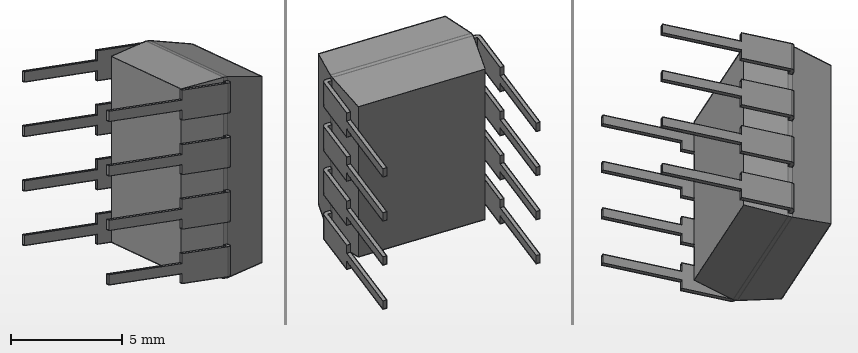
import cadquery as cq


housing_width = 7.02
housing_height = 9.38
housing_depth = 4.2
draft_angle = 10.0

lead_thickness = 0.2
row_width = 7.82
lead_pitch = 2.54
leads_per_row = 4
shoulder_width = 1.4
shoulder_length = 2.58
tip_width = 0.48
overall_depth = 8.38

band_half = lead_thickness / 2
half_depth = housing_depth / 2
tip_y = half_depth - overall_depth
shoulder_y = band_half - shoulder_length
wall_x = housing_width / 2
outer_x = row_width / 2
inner_x = outer_x - lead_thickness


def make_housing():
    """Straight parting band with a drafted half on its front and back."""
    def drafted_half(direction):
        return (
            cq.Workplane(cq.Plane((0, direction * band_half, 0), (1, 0, 0), (0, direction, 0)))
            .rect(housing_width, housing_height)
            .extrude(half_depth - band_half, taper=draft_angle)
        )

    band = cq.Workplane("XY").box(housing_width, lead_thickness, housing_height)
    return band.union(drafted_half(1)).union(drafted_half(-1)).solids()


def make_lead(side, z):
    """Bent lead touching the housing wall; side is +1 or -1 along X."""
    shoulder = (
        cq.Workplane("XY")
        .moveTo(side * wall_x, band_half)
        .lineTo(side * inner_x, band_half)
        .radiusArc((side * outer_x, -band_half), side * lead_thickness)
        .lineTo(side * outer_x, shoulder_y)
        .lineTo(side * inner_x, shoulder_y)
        .lineTo(side * inner_x, -band_half)
        .lineTo(side * wall_x, -band_half)
        .close()
        .extrude(shoulder_width / 2, both=True)
    )
    tip = (
        cq.Workplane("XY")
        .box(lead_thickness, shoulder_y - tip_y, tip_width)
        .translate((side * (inner_x + outer_x) / 2, (shoulder_y + tip_y) / 2, 0))
    )
    return shoulder.union(tip).translate((0, 0, z)).solids()


housing = make_housing()

leads = []
for side in (-1, 1):
    for index in range(leads_per_row):
        z = (index - (leads_per_row - 1) / 2) * lead_pitch
        leads.append(make_lead(side, z))

result = cq.Compound.makeCompound([housing.val(), *[lead.val() for lead in leads]])